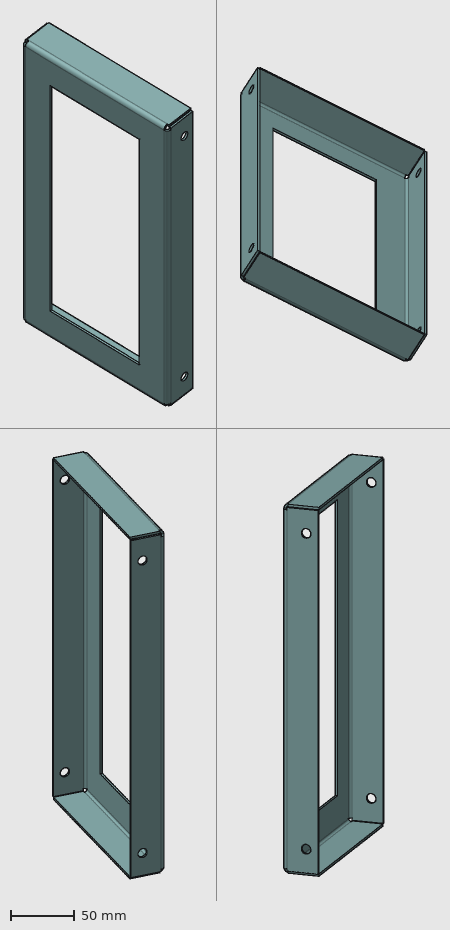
import cadquery as cq

width = 154.0
depth = 30.0
height = 304.0
thickness = 2.0
bend_radius = 2 * thickness
flange_setback = 2.0
window_margin = 30.0
hole_diameter = 8.0
hole_back_offset = 10.0
hole_end_offset = 22.0

front_y = -depth / 2
flange_depth = depth - bend_radius


def folded_shell():
    """Open-backed tray with rounded folds and a uniform wall."""
    block = cq.Workplane("XY").box(width, depth, height)
    outer = block.faces("<Y").edges().fillet(bend_radius)
    cavity = (
        cq.Workplane("XY")
        .box(width - 2 * thickness, depth, height - 2 * thickness)
        .translate((0, thickness, 0))
        .faces("<Y").edges().fillet(bend_radius - thickness)
    )
    return outer.cut(cavity)


def corner_cutters():
    """Full relief through each fold corner, then a narrow open flange corner behind it."""
    cutters = cq.Workplane("XY")
    for side_x in (-1, 1):
        for side_z in (-1, 1):
            corner_x = side_x * width / 2
            corner_z = side_z * height / 2
            relief = cq.Workplane("XY").box(2 * bend_radius, bend_radius, 2 * bend_radius)
            relief = relief.translate((corner_x, front_y + bend_radius / 2, corner_z))
            gap = cq.Workplane("XY").box(2 * flange_setback, flange_depth, 2 * flange_setback)
            gap = gap.translate((corner_x, front_y + bend_radius + flange_depth / 2, corner_z))
            cutters = cutters.add(relief).add(gap)
    return cutters.combine()


def window():
    return cq.Workplane("XY").box(
        width - 2 * window_margin, 2 * bend_radius, height - 2 * window_margin
    ).translate((0, front_y, 0))


def side_holes():
    """Mounting holes running through both side flanges."""
    hole_y = depth / 2 - hole_back_offset
    hole_z = height / 2 - hole_end_offset
    return (
        cq.Workplane("YZ")
        .pushPoints([(hole_y, -hole_z), (hole_y, hole_z)])
        .circle(hole_diameter / 2)
        .extrude(width, both=True)
    )


result = folded_shell().cut(corner_cutters()).cut(window()).cut(side_holes())